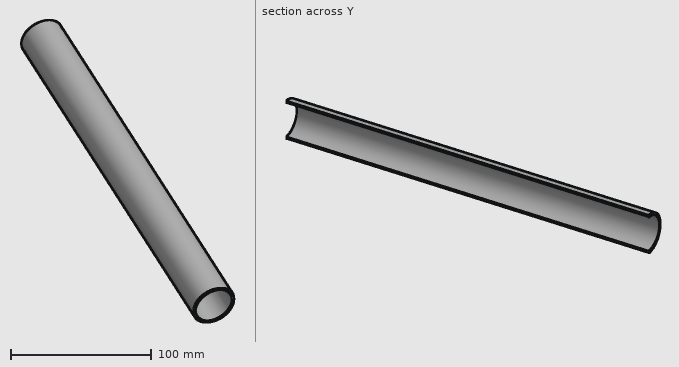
import cadquery as cq

length = 300.8
outer_diameter = 32.0
wall_thickness = 1.92
inner_diameter = outer_diameter - 2 * wall_thickness


def make_tube():
    """Ring profile parallel to YZ at the -X end, extruded over the full length."""
    end_plane = cq.Workplane("YZ", origin=(-length / 2, 0, 0))
    profile = end_plane.circle(outer_diameter / 2).circle(inner_diameter / 2)
    return profile.extrude(length)


result = make_tube()